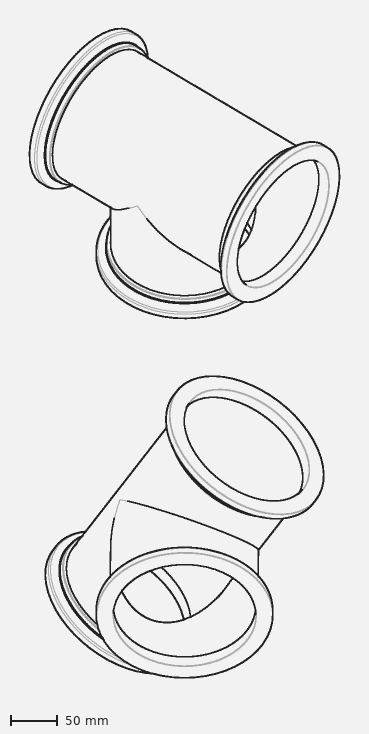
import cadquery as cq

run_length = 276.0
branch_length = run_length / 2

tube_outer_radius = 159.0 / 2
bore_radius = 153.0 / 2

flange_radius = 190.0 / 2
collar_radius = 168.0 / 2
rim_end = 8.5
flange_end = 13.0
ferrule_length = 19.5
socket_start = 13.8
rim_round = 2.2
cone_root_round = 1.0
collar_round = 0.8
face_round = 0.5



def make_cylinder(radius, start, length, direction):
    """Cylinder along a direction, starting at a distance from the tee centre."""
    axis = cq.Vector(*direction)
    return cq.Workplane(cq.Solid.makeCylinder(radius, length, axis * start, axis))


def make_tee(tube_run_length, tube_branch_length):
    """One hollow tee; the run and the branch have the same section."""
    down = (0, 0, -1)
    along = (1, 0, 0)
    run_start = -tube_run_length / 2
    outside = make_cylinder(tube_outer_radius, run_start, tube_run_length, along).union(
        make_cylinder(tube_outer_radius, 0, tube_branch_length, down)
    )
    inside = make_cylinder(bore_radius, run_start, tube_run_length, along).union(
        make_cylinder(bore_radius, 0, tube_branch_length, down)
    )
    return outside.cut(inside)


def round_circle(body, radius, height, round_radius):
    """Round the circular edge of the given radius and height about the Z axis."""
    tolerance = 0.03
    edge = body.edges("%CIRCLE").filter(
        lambda circle: abs(circle.radius() - radius) < tolerance
        and abs(circle.Center().z - height) < tolerance
    )
    return edge.fillet(round_radius)


def make_ferrule():
    """Clamp ferrule with its open face on XY and its tube socket facing +Z."""
    profile = (
        cq.Workplane("XZ")
        .moveTo(bore_radius, 0)
        .lineTo(flange_radius, 0)
        .lineTo(flange_radius, rim_end)
        .lineTo(collar_radius, flange_end)
        .lineTo(collar_radius, ferrule_length)
        .lineTo(tube_outer_radius, ferrule_length)
        .lineTo(tube_outer_radius, socket_start)
        .lineTo(bore_radius, socket_start)
        .close()
    )
    ferrule = profile.revolve(360, (0, 0, 0), (0, 1, 0))
    ferrule = round_circle(ferrule, flange_radius, rim_end, rim_round)
    ferrule = round_circle(ferrule, collar_radius, flange_end, cone_root_round)
    ferrule = round_circle(ferrule, collar_radius, ferrule_length, collar_round)
    ferrule = round_circle(ferrule, bore_radius, 0, face_round)
    return round_circle(ferrule, flange_radius, 0, face_round)


tee = make_tee(run_length - 2 * socket_start, branch_length - socket_start)

branch_ferrule = make_ferrule().translate((0, 0, -branch_length))
ferrules = [
    branch_ferrule.rotate((0, 0, 0), (0, 1, 0), angle)
    for angle in (0, 90, -90)
]

result = cq.Compound.makeCompound([tee.val(), *[ferrule.val() for ferrule in ferrules]])